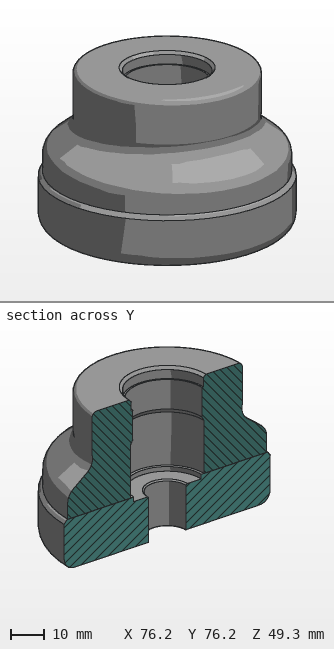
import cadquery as cq
import math

base_radius = 38.1
base_bottom_fillet = 4.05
base_wall_top = 15.4
lip_radius = 37.3
lip_rise = 1.0
seam_height = 16.8
base_hole_radius = 6.85
base_hole_chamfer = 0.45
recess_radius = 12.4
recess_depth = 1.5

total_height = 49.3
skirt_radius = 36.8
skirt_top = 22.0
neck_radius = 27.9
neck_fillet = 2.0
blend_radius = 5.0
waist_radius = 27.65
waist_height = 34.0

mouth_radius = 13.25
mouth_chamfer = 0.9
mouth_depth = 3.9
bore_radius = 12.65
bore_depth = 13.65
flare_height = 1.4
lower_bore_radius = 13.4


def revolve_about_z(profile):
    return profile.close().revolve(360, (0, 0), (0, 1))


def polar(center, radius, angle):
    return (center[0] + radius * math.cos(angle), center[1] + radius * math.sin(angle))


def make_base():
    recess_floor = seam_height - recess_depth
    fillet_center = (base_radius - base_bottom_fillet, base_bottom_fillet)

    return revolve_about_z(
        cq.Workplane("XZ")
        .moveTo(base_hole_radius, 0)
        .lineTo(fillet_center[0], 0)
        .threePointArc(polar(fillet_center, base_bottom_fillet, -math.pi / 4), (base_radius, base_bottom_fillet))
        .lineTo(base_radius, base_wall_top)
        .lineTo(lip_radius, base_wall_top + lip_rise)
        .lineTo(skirt_radius, seam_height)
        .lineTo(recess_radius, seam_height)
        .lineTo(recess_radius, recess_floor)
        .lineTo(base_hole_radius + base_hole_chamfer, recess_floor)
        .lineTo(base_hole_radius, recess_floor - base_hole_chamfer)
    )


def make_housing_blank():
    waist_center = (waist_radius + blend_radius, waist_height)
    shoulder_center = (skirt_radius - blend_radius, skirt_top)

    across = waist_center[0] - shoulder_center[0]
    up = waist_center[1] - shoulder_center[1]
    cone_normal = math.atan2(up, across) - math.acos(2 * blend_radius / math.hypot(across, up))
    shoulder_end = polar(shoulder_center, blend_radius, cone_normal)
    shoulder_middle = polar(shoulder_center, blend_radius, cone_normal / 2)
    waist_start_angle = cone_normal + math.pi
    waist_end_angle = math.acos((neck_radius - waist_center[0]) / blend_radius)
    waist_start = polar(waist_center, blend_radius, waist_start_angle)
    waist_middle = polar(waist_center, blend_radius, (waist_start_angle + waist_end_angle) / 2)
    waist_end = polar(waist_center, blend_radius, waist_end_angle)

    fillet_center = (neck_radius - neck_fillet, total_height - neck_fillet)
    return revolve_about_z(
        cq.Workplane("XZ")
        .moveTo(0, seam_height)
        .lineTo(skirt_radius, seam_height)
        .lineTo(skirt_radius, skirt_top)
        .threePointArc(shoulder_middle, shoulder_end)
        .lineTo(*waist_start)
        .threePointArc(waist_middle, waist_end)
        .lineTo(neck_radius, fillet_center[1])
        .threePointArc(polar(fillet_center, neck_fillet, math.pi / 4), (fillet_center[0], total_height))
        .lineTo(0, total_height)
    )


def make_bore():
    mouth_bottom = total_height - mouth_depth
    bore_bottom = total_height - bore_depth
    return revolve_about_z(
        cq.Workplane("XZ")
        .moveTo(0, seam_height)
        .lineTo(lower_bore_radius, seam_height)
        .lineTo(lower_bore_radius, bore_bottom - flare_height)
        .lineTo(bore_radius, bore_bottom)
        .lineTo(bore_radius, mouth_bottom)
        .lineTo(mouth_radius, mouth_bottom)
        .lineTo(mouth_radius, total_height - mouth_chamfer)
        .lineTo(mouth_radius + mouth_chamfer, total_height)
        .lineTo(0, total_height)
    )


base = make_base()
housing = make_housing_blank().cut(make_bore())

result = cq.Compound.makeCompound([base.val(), housing.val()])